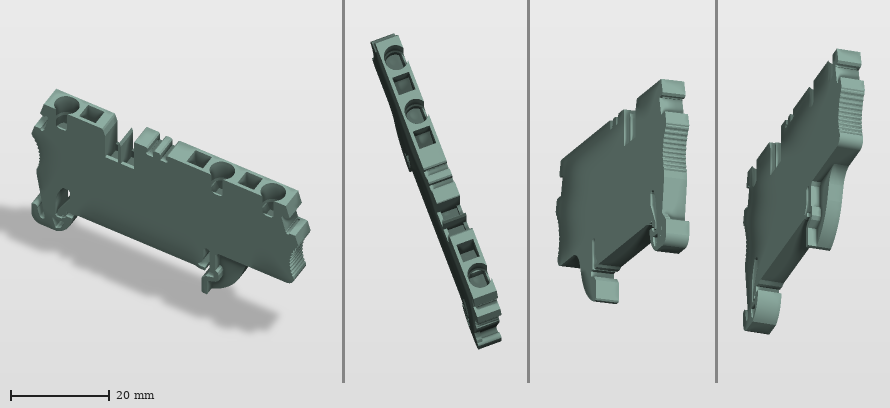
import cadquery as cq
import math

length = 62.8
thickness = 5.0
height = 36.0

body_bottom = 7.15
shelf_bottom = 13.4
side_inset = 1.2
hook_web_thickness = 1.1
foot_web_front = 1.9
rail_face_x = 41.95
back_skin = 0.5

grip_depth = 1.8
grip_radius = 10.3
grip_mid = 19.5
grip_top = 25.4
grip_pitch = 0.95
grip_teeth = 10
tooth_depth = 0.25
tooth_height = 0.75
tooth_flank = 0.25
grip_bottom = 15.9

lever_top = 14.45
lever_end_x = 3.15
lever_end_z = 2.45

slot_floor = 27.95
groove_floor = 33.9
screw_radius = 2.4
screw_straight = 0.5
screw_y = 2.15
screw_depth = 4.7
collar_depth = 0.55
well_depth = 2.25
well_spread = 0.4
floor_flat = 1.7
floor_front = 0.75
floor_back = 3.8
entry_offset = 5.65
entry_size = 3.9
entry_front = 0.7
entry_width = 3.65
entry_draft = 0.4
entry_near_depth = 5.0
entry_far_depth = 8.15
terminals = [(7.1, 1), (43.7, -1), (55.7, -1)]


def prism(profile, y_start=0.0, y_end=thickness):
    """Extrude a closed XZ profile between two Y planes."""
    return profile.extrude(-(y_end - y_start)).translate((0, y_start, 0))


def polygon(points, y_start=0.0, y_end=thickness):
    return prism(cq.Workplane("XZ").polyline(points).close(), y_start, y_end)


def rod(x, z, radius, y_start, y_end):
    return prism(cq.Workplane("XZ").center(x, z).circle(radius), y_start, y_end)


def grip_x(z):
    """Inset of the grip arc from the end of the part at height z."""
    return grip_depth - grip_radius + math.sqrt(grip_radius**2 - (z - grip_mid) ** 2)


def lever_x(z):
    """Left face of the lever at height z."""
    return side_inset + (lever_end_x - side_inset) * (lever_top - z) / (lever_top - lever_end_z)


def end_points():
    """Left end from the top edge down to the foot of the grip."""
    points = [(2.9, height), (2.15, 33.3), (2.0, 32.85), (2.6, 32.4), (3.95, 32.3), (2.95, 28.35)]
    points += [(0.7, 28.35), (0, 25.9), (0, 25.6)]
    for tooth in range(grip_teeth):
        z = grip_top - tooth * grip_pitch
        z_root = z - tooth_height
        points.append((grip_x(z) + tooth_depth, z))
        points.append((grip_x(z - tooth_flank), z - tooth_flank))
        points.append((grip_x(z_root + tooth_flank), z_root + tooth_flank))
        points.append((grip_x(z_root) + tooth_depth, z_root))
    points.append((side_inset, grip_bottom))
    return points


def mirrored(points):
    return [(length - x, z) for x, z in points]


def make_body():
    """Plate outline with the shelf on the right, before the top is cut."""
    corner = 1.9
    side_inset_right = 1.0
    left = end_points()
    right = mirrored(left)
    side = length - side_inset_right
    diagonal = corner * (1 - math.sqrt(0.5))
    profile = cq.Workplane("XZ").polyline(right + [(side, shelf_bottom + corner)])
    profile = profile.threePointArc(
        (side - diagonal, shelf_bottom + diagonal), (side - corner, shelf_bottom)
    )
    profile = profile.lineTo(rail_face_x, shelf_bottom).lineTo(rail_face_x, body_bottom)
    profile = profile.lineTo(lever_x(body_bottom), body_bottom).lineTo(side_inset, lever_top)
    for point in reversed(left):
        profile = profile.lineTo(*point)
    return prism(profile.close())


def make_left_foot():
    """Spring foot with a hooked lip, a tool slot and a web behind the slot."""
    foot = (
        cq.Workplane("XZ")
        .moveTo(lever_x(7.55), 7.55)
        .lineTo(lever_end_x, lever_end_z)
        .threePointArc((2.75, 2.0), (1.9, 2.45))
        .lineTo(1.4, 4.35)
        .threePointArc((0.9, 5.3), (0, 5.0))
        .lineTo(0, 2.1)
        .threePointArc((0.7, 0.6), (1.95, 0))
        .lineTo(6.0, 0)
        .threePointArc((8.5, 2.15), (9.5, 5.6))
        .lineTo(8.1, 5.6)
        .lineTo(8.1, 7.55)
        .close()
    )
    web = [(2.5, 7.3), (1.5, 6.2), (1.0, 5.95), (0.55, 5.35), (1.95, 1.6), (3.0, 1.6)]
    return prism(foot).union(polygon(web, thickness - hook_web_thickness))


def make_foot_gap():
    """Gap that frees the spring foot from the body."""
    return prism(
        cq.Workplane("XZ")
        .moveTo(8.1, 5.9)
        .lineTo(7.05, 5.4)
        .lineTo(6.9, 4.85)
        .lineTo(6.15, 4.85)
        .lineTo(6.15, 6.2)
        .lineTo(9.05, 10.85)
        .lineTo(9.05, 13.2)
        .lineTo(8.7, 13.6)
        .lineTo(7.4, 13.6)
        .threePointArc((6.15, 11.2), (5.65, 8.15))
        .lineTo(5.65, 4.8)
        .lineTo(5.95, 4.35)
        .lineTo(7.05, 4.35)
        .lineTo(8.1, 5.15)
        .lineTo(8.1, 5.6)
        .lineTo(9.55, 5.6)
        .lineTo(9.55, 6.9)
        .lineTo(8.35, 6.9)
        .lineTo(8.1, 6.6)
        .close()
    )


def make_foot_window():
    window = [(4.9, 3.5), (7.65, 3.5), (7.65, 2.9), (6.8, 1.3), (5.95, 0.9), (5.6, 0.95), (5.0, 2.9)]
    return polygon(window)


def make_bottom_lips():
    """Shallow lips below the body beside both feet."""
    lip_bottom = 6.8
    left = [(8.35, body_bottom), (8.35, 7.0), (9.55, lip_bottom), (9.9, lip_bottom), (11.05, body_bottom)]
    right = [(38.65, body_bottom), (39.45, lip_bottom), (40.85, lip_bottom), (40.85, body_bottom)]
    return polygon(left).union(polygon(right))


def make_right_foot():
    """Rigid cranked rib across the full thickness, stiffened by a web set back from the front."""
    overlap = 0.6
    rib = [
        (rail_face_x, shelf_bottom), (rail_face_x, 7.05), (42.9, 6.9), (42.9, 5.85), (41.0, 5.3), (40.0, 4.2),
        (40.0, 0.3), (40.3, 0), (41.35, 0), (41.35, 4.0), (43.5, 4.85), (44.1, 5.5),
        (44.1, 7.05), (43.85, 7.7), (43.3, 8.05), (43.3, 12.7), (44.1, shelf_bottom),
    ]
    web = (
        cq.Workplane("XZ")
        .moveTo(41.35, 0)
        .threePointArc((45.0, 2.4), (48.2, 7.3))
        .lineTo(49.25, 10.55)
        .threePointArc((50.65, 12.5), (53.9, shelf_bottom))
        .lineTo(53.9, shelf_bottom + overlap)
        .lineTo(42.6, shelf_bottom + overlap)
        .lineTo(42.6, 7.05)
        .lineTo(43.5, 6.9)
        .lineTo(43.5, 5.5)
        .lineTo(40.7, 4.4)
        .lineTo(40.7, 0)
        .close()
    )
    return polygon(rib).union(prism(web, foot_web_front))


def make_rail_gap():
    """Narrow gap between the body and the rigid foot."""
    return prism(
        cq.Workplane("XZ")
        .moveTo(rail_face_x, 6.3)
        .lineTo(rail_face_x, 12.8)
        .threePointArc((41.3, 13.5), (40.6, 12.8))
        .lineTo(40.6, 10.6)
        .threePointArc((40.15, 9.2), (39.2, 8.05))
        .lineTo(39.7, 7.65)
        .lineTo(40.85, 7.65)
        .lineTo(40.85, 6.3)
        .close()
    )


def make_bridge_slots():
    """Two deep slots parted by a pointed blade, each with a pocket in its floor."""
    left, blade_left, blade_right, right = 17.35, 20.35, 21.05, 24.1
    tip_x = (blade_left + blade_right) / 2
    tip_z = 34.0
    shoulder = 33.0
    pocket_depth = 1.9
    pocket_front = 0.75
    pocket_back = 4.3
    slots = polygon([
        (left, slot_floor), (left, 34.2), (16.9, 35.55), (16.65, height), (right + 0.2, height),
        (right, height - 0.2), (right, slot_floor), (blade_right, slot_floor), (blade_right, shoulder),
        (tip_x, tip_z), (blade_left, shoulder), (blade_left, slot_floor),
    ])
    for x_start, x_end in [(left, blade_left), (blade_right, right)]:
        pocket = cq.Workplane("XY").box(
            x_end - x_start, pocket_back - pocket_front, pocket_depth, centered=False
        )
        slots = slots.union(pocket.translate((x_start, pocket_front, slot_floor - pocket_depth)))
    return slots


def make_marker_grooves():
    """Two grooves for marker tags around a slightly lower rounded rib."""
    left, rib_left, rib_right, right = 27.3, 28.65, 30.35, 31.7
    bevel = 0.3
    rib_top = 35.8
    grooves = polygon([
        (left - bevel, height), (left, height - bevel), (left, groove_floor), (rib_left, groove_floor),
        (rib_left, rib_top - bevel), (rib_left + bevel, rib_top), (rib_right - bevel, rib_top),
        (rib_right, rib_top - bevel), (rib_right, groove_floor), (right, groove_floor),
        (right, height - bevel), (right + bevel, height),
    ])
    undercut_radius = 0.4
    undercut_z = 34.35
    for x in (left, right):
        grooves = grooves.union(rod(x, undercut_z, undercut_radius, 0, thickness - back_skin))
    return grooves


def make_end_notch_grooves():
    """Small round grooves in both ledges of each end notch, closed by the back skin."""
    grooves = cq.Workplane("XZ")
    for x, z, radius in [(3.5, 32.4, 0.3), (2.45, 28.2, 0.4)]:
        for groove_x in (x, length - x):
            grooves = grooves.add(rod(groove_x, z, radius, 0, thickness - back_skin))
    return grooves.combine()


def make_screw_hole(x, side):
    """Slightly oblong screwdriver hole breaking through the front face, with a flatted well below."""
    collar_top = height - screw_depth
    collar_bottom = collar_top - collar_depth
    collar_radius = screw_y
    wide = 2 * screw_radius
    narrow = 2 * collar_radius
    bore = cq.Workplane("XY", origin=(0, screw_y, collar_top))
    bore = bore.slot2D(wide + screw_straight, wide).extrude(screw_depth)
    collar = (
        cq.Workplane("XY", origin=(0, screw_y, collar_bottom))
        .slot2D(narrow + screw_straight, narrow)
        .workplane(offset=collar_depth)
        .slot2D(wide + screw_straight, wide)
        .loft()
    )
    well = cq.Workplane("XY", origin=(0, screw_y, collar_bottom))
    well = well.slot2D(narrow + screw_straight, narrow).extrude(-well_depth)
    flats_x = side * (floor_flat - wide / 2)
    flats_width = floor_back - floor_front
    flats = (
        cq.Workplane("XY", origin=(flats_x, (floor_front + floor_back) / 2, collar_bottom - well_depth))
        .rect(wide, flats_width)
        .workplane(offset=well_depth)
        .rect(wide + 2 * well_spread, flats_width + 2 * well_spread)
        .loft()
    )
    return bore.union(collar).union(well.intersect(flats)).translate((x, 0, 0))


def make_wire_entry(x, side):
    """Square wire entry with drafted far and back walls; its floor falls away from the screw hole."""
    near = x + side * (entry_offset - entry_size / 2)
    far = near + side * entry_size
    back = entry_front + entry_width
    entry = polygon(
        [
            (near, height),
            (far, height),
            (far - side * entry_draft, height - entry_far_depth),
            (near, height - entry_near_depth),
        ],
        entry_front,
        back,
    )
    back_draft = (
        cq.Workplane("YZ", origin=(x, 0, 0))
        .polyline([
            (back, height),
            (back, height - entry_far_depth),
            (back - entry_draft, height - entry_far_depth),
        ])
        .close()
        .extrude(side * 2 * entry_offset)
    )
    return entry.cut(back_draft)


result = make_body().union(make_left_foot()).union(make_right_foot()).union(make_bottom_lips())
result = result.cut(make_foot_gap()).cut(make_foot_window()).cut(make_rail_gap())
result = result.cut(make_bridge_slots()).cut(make_marker_grooves()).cut(make_end_notch_grooves())
for screw_x, entry_side in terminals:
    result = result.cut(make_screw_hole(screw_x, entry_side))
    result = result.cut(make_wire_entry(screw_x, entry_side))